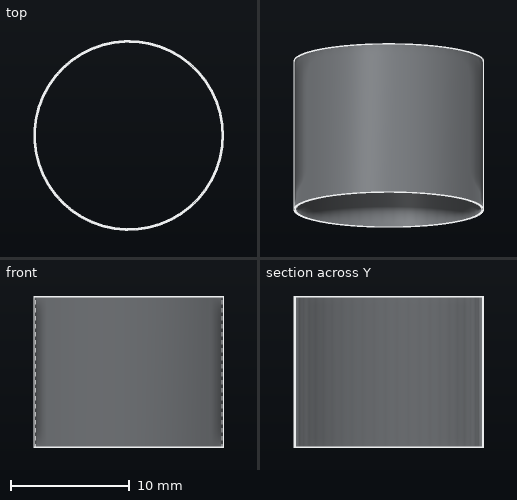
import cadquery as cq

outer_diameter = 15.97
height = 12.7
wall_thickness = 0.13

inner_diameter = outer_diameter - 2 * wall_thickness

result = (
    cq.Workplane("XY")
    .circle(outer_diameter / 2)
    .circle(inner_diameter / 2)
    .extrude(height)
)